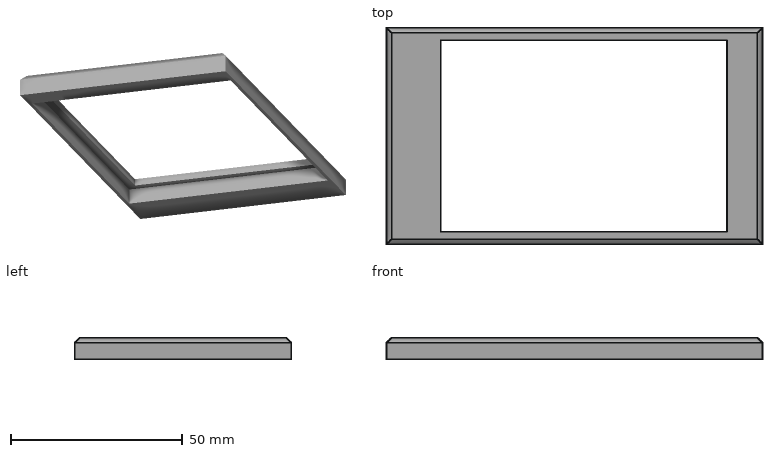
import cadquery as cq

length = 110.0
width = 63.4
height = 6.4
edge_chamfer = 1.5

window_length = 83.6
window_width = 55.9
left_border = 16.0
window_center_x = -length / 2 + left_border + window_length / 2

lip_thickness = 2.0
rebate_setback = 2.6
rebate_depth = height - lip_thickness


def make_plate():
    """Plate resting on Z = 0 with its upper outer edges chamfered."""
    plate = cq.Workplane("XY").box(length, width, height, centered=(True, True, False))
    return plate.faces(">Z").edges().chamfer(edge_chamfer)


def make_opening(setback, depth):
    """Rectangular cutter rising from Z = 0, larger than the window by the setback on every side."""
    return (
        cq.Workplane("XY")
        .center(window_center_x, 0)
        .rect(window_length + 2 * setback, window_width + 2 * setback)
        .extrude(depth)
    )


window = make_opening(0, height)
rebate = make_opening(rebate_setback, rebate_depth)

result = make_plate().cut(window).cut(rebate)